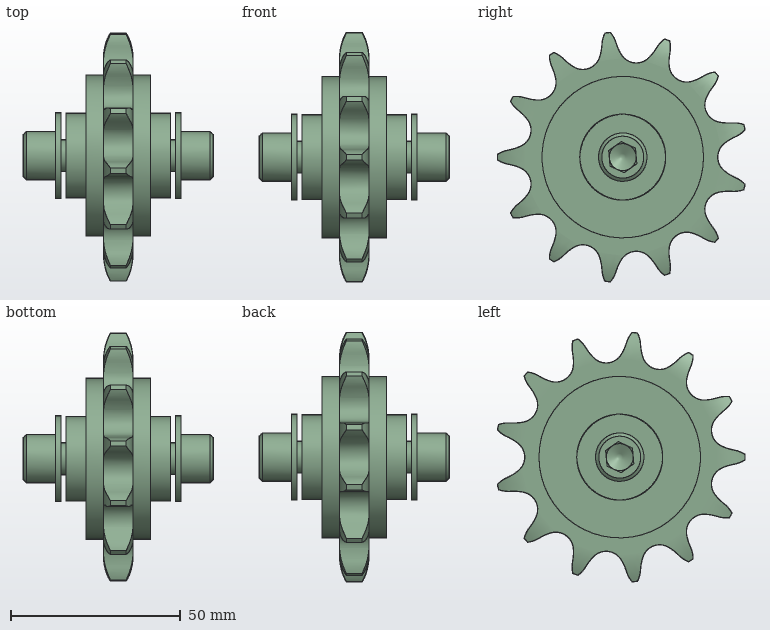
import cadquery as cq
import math


tooth_count = 13
pitch_radius = 33.2
roller_diameter = 10.15
seat_radius = 5.15
overall_height = 73.6
tip_half_angle = 1.2
sprocket_width = 8.75
tip_width = 4.7
side_rounding_start_radius = 28.9

hub_diameter = 47.6
hub_width = 19.05
sleeve_diameter = 25.0
sleeve_length = 30.9

overall_length = 56.05
head_diameter = 14.3
head_length = 9.5
head_chamfer = 0.95
shank_diameter = 9.5
socket_across_flats = 7.95
socket_depth = 4.8
socket_tip_angle = 120.0
socket_turn = 5.0
washer_diameter = 25.4
washer_thickness = 1.7

pitch_angle = 360 / tooth_count
top_tooth_lean = 90 - pitch_angle * round(90 / pitch_angle)
tip_radius = overall_height / 2 / math.cos(math.radians(top_tooth_lean - tip_half_angle))

head_seat_x = overall_length / 2 - head_length


def polar(center, radius, angle):
    """Point at the given angle in degrees, measured from the sideways direction towards outward."""
    turn = math.radians(angle)
    return (center[0] + radius * math.cos(turn), center[1] + radius * math.sin(turn))


def cylinder(diameter, start_x, length):
    return cq.Workplane("YZ", origin=(start_x, 0, 0)).circle(diameter / 2).extrude(length)


def tooth_gap_side():
    """Half of a tooth gap as (sideways, outward) points, from its root arc to the tooth tip.

    The gap is the standard roller-chain form: root arc, concave working arc, short straight
    and convex topping arc, each tangent to the next.
    """
    root_end_angle = 35 + 60 / tooth_count
    straight_angle = 17 + 116 / tooth_count
    working_offset = 0.8 * roller_diameter
    topping_offset = 1.4 * roller_diameter

    roller_center = (0, pitch_radius)
    root_end = polar(roller_center, seat_radius, -root_end_angle)

    working_center = polar(roller_center, working_offset, 180 - root_end_angle)
    working_radius = working_offset + seat_radius
    working_middle = polar(working_center, working_radius, -(root_end_angle + straight_angle) / 2)
    working_end = polar(working_center, working_radius, -straight_angle)

    topping_center = polar(roller_center, topping_offset, -pitch_angle / 2)
    normal_angle = 180 - straight_angle
    normal = polar((0, 0), 1, normal_angle)
    topping_radius = sum((working_end[i] - topping_center[i]) * normal[i] for i in range(2))
    topping_start = polar(topping_center, topping_radius, normal_angle)

    center_distance = math.hypot(*topping_center)
    center_angle = math.degrees(math.atan2(topping_center[1], topping_center[0]))
    tip_cosine = (tip_radius**2 - center_distance**2 - topping_radius**2) / (
        2 * center_distance * topping_radius
    )
    topping_end_angle = center_angle + math.degrees(math.acos(tip_cosine))
    topping_middle = polar(topping_center, topping_radius, (normal_angle + topping_end_angle) / 2)
    tip_corner = polar(topping_center, topping_radius, topping_end_angle)

    return [root_end, working_middle, working_end, topping_start, topping_middle, tip_corner]


def tooth_outline():
    """Closed outline of all the teeth, with one gap centred on +Y."""
    gap_side = tooth_gap_side()

    def place(point, angle, side=1):
        """Turn a gap point to its angle about X; a side of -1 mirrors it across the gap."""
        turn = math.radians(angle)
        sideways, outward = side * point[0], point[1]
        return (
            outward * math.cos(turn) - sideways * math.sin(turn),
            outward * math.sin(turn) + sideways * math.cos(turn),
        )

    first_tip_corner = place(gap_side[-1], 0, -1)
    outline = cq.Workplane("YZ", origin=(-sprocket_width / 2, 0, 0)).moveTo(*first_tip_corner)
    for gap in range(tooth_count):
        angle = gap * pitch_angle

        near = [place(point, angle, -1) for point in gap_side]
        root_end, working_middle, working_end, topping_start, topping_middle, _ = near
        outline = outline.threePointArc(topping_middle, topping_start)
        outline = outline.lineTo(*working_end)
        outline = outline.threePointArc(working_middle, root_end)

        far = [place(point, angle) for point in gap_side]
        root_end, working_middle, working_end, topping_start, topping_middle, tip_corner = far
        root_bottom = place((0, pitch_radius - seat_radius), angle)
        tip_middle = place((0, tip_radius), angle + pitch_angle / 2)
        next_tip_corner = place(gap_side[-1], angle + pitch_angle, -1)
        outline = outline.threePointArc(root_bottom, root_end)
        outline = outline.threePointArc(working_middle, working_end)
        outline = outline.lineTo(*topping_start)
        outline = outline.threePointArc(topping_middle, tip_corner)
        outline = outline.threePointArc(tip_middle, next_tip_corner)
    return outline.close()


def make_sprocket():
    """Toothed ring whose side faces curve in smoothly towards the tooth tips."""
    teeth = tooth_outline().extrude(sprocket_width)
    side_x = sprocket_width / 2
    tip_x = tip_width / 2
    bore_radius = hub_diameter / 2

    rounding_depth = side_x - tip_x
    rounding_height = tip_radius - side_rounding_start_radius
    rounding_radius = (rounding_height**2 + rounding_depth**2) / (2 * rounding_depth)
    half_sweep = math.asin(rounding_height / rounding_radius) / 2
    middle_x = side_x - rounding_radius * (1 - math.cos(half_sweep))
    middle_radius = side_rounding_start_radius + rounding_radius * math.sin(half_sweep)

    blank = (
        cq.Workplane("XY")
        .moveTo(-side_x, bore_radius)
        .lineTo(side_x, bore_radius)
        .lineTo(side_x, side_rounding_start_radius)
        .threePointArc((middle_x, middle_radius), (tip_x, tip_radius))
        .lineTo(-tip_x, tip_radius)
        .threePointArc((-middle_x, middle_radius), (-side_x, side_rounding_start_radius))
        .close()
        .revolve(360, (0, 0, 0), (1, 0, 0))
    )
    return teeth.intersect(blank)


def make_hub():
    """Plain ring inside the sprocket, wider than the teeth."""
    hub = cylinder(hub_diameter, -hub_width / 2, hub_width)
    return hub.cut(cylinder(sleeve_diameter, -hub_width / 2, hub_width))


def make_sleeve():
    """Long tube through the hub that carries both screw shanks."""
    sleeve = cylinder(sleeve_diameter, -sleeve_length / 2, sleeve_length)
    return sleeve.cut(cylinder(shank_diameter, -sleeve_length / 2, sleeve_length))


def make_washer():
    """Washer on the -X end, against the underside of the screw head."""
    washer = cylinder(washer_diameter, -head_seat_x, washer_thickness)
    return washer.cut(cylinder(shank_diameter, -head_seat_x, washer_thickness))


def make_screw():
    """Screw on the -X end: chamfered head, shank up to X = 0 and hexagon socket."""
    head = cylinder(head_diameter, -overall_length / 2, head_length).faces("<X").chamfer(head_chamfer)
    shank = cylinder(shank_diameter, -head_seat_x, head_seat_x)

    socket_corner_diameter = socket_across_flats / math.cos(math.radians(30))
    socket = (
        cq.Workplane("YZ", origin=(-overall_length / 2, 0, 0))
        .transformed(rotate=(0, 0, 90 - socket_turn))
        .polygon(6, socket_corner_diameter)
        .extrude(socket_depth)
    )
    cone_radius = socket_across_flats / 2
    cone_depth = cone_radius / math.tan(math.radians(socket_tip_angle / 2))
    socket_floor = cq.Vector(-overall_length / 2 + socket_depth, 0, 0)
    cone = cq.Solid.makeCone(cone_radius, 0, cone_depth, socket_floor, cq.Vector(1, 0, 0))
    return head.union(shank).cut(socket).cut(cq.Workplane(cone))


sprocket = make_sprocket()
hub = make_hub()
sleeve = make_sleeve()

end_turns = (0, 180)
washers = []
screws = []
for end_turn in end_turns:
    washers.append(make_washer().rotate((0, 0, 0), (0, 0, 1), end_turn).val())
    screws.append(make_screw().rotate((0, 0, 0), (0, 0, 1), end_turn).val())

result = cq.Compound.makeCompound([sprocket.val(), hub.val(), sleeve.val(), *washers, *screws])